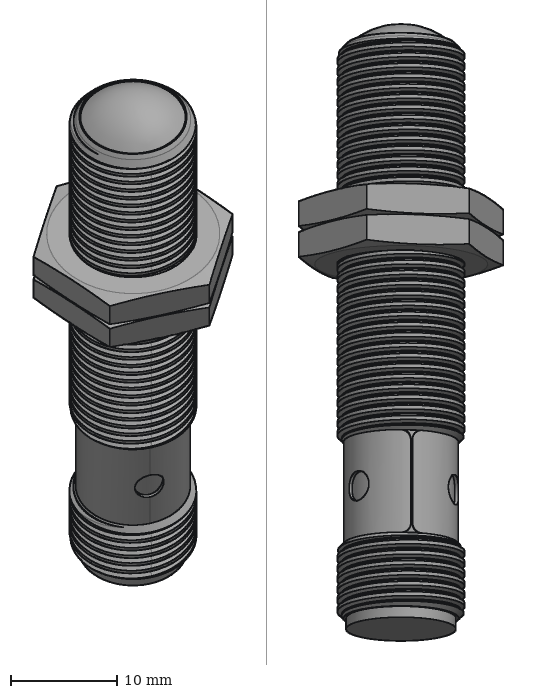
import cadquery as cq
import math

total_height = 58.25
thread_diameter = 12.0
thread_radius = thread_diameter / 2
thread_pitch = thread_diameter / 12
thread_depth = 0.4
crest_width = thread_pitch * 3 / 8
root_width = thread_pitch / 8
groove_overshoot = 0.05
groove_start = 0.1

stub_radius = 5.2
stub_height = 1.05
neck_radius = 5.4
neck_bottom = 8.15
neck_top = 18.05
barrel_top = 56.45
end_chamfer = thread_radius - neck_radius

rim_radius = 5.05
rim_bevel_bottom = 56.1
rim_chamfer_bottom = 55.45

lens_radius = 4.95
dome_radius = 7.2

window_count = 3
window_diameter = 2.85
window_depth = 0.35
window_height = 13.05

seam_width = 0.2
seam_depth = 0.1
seam_corner_radius = 0.9

nut_count = 2
hexagon_sides = 6
nut_width = 17.0
nut_height = 2.95
nut_bottom = 35.25
nut_face_diameter = 16.3
nut_chamfer_height = 0.3


def make_blank():
    """Barrel without threads: a stepped round profile turned about Z."""
    edge_angle = math.asin(lens_radius / dome_radius)
    half_angle = edge_angle / 2
    dome_base = total_height - dome_radius * (1 - math.cos(edge_angle))
    dome_middle = (
        dome_radius * math.sin(half_angle),
        total_height - dome_radius * (1 - math.cos(half_angle)),
    )
    return (
        cq.Workplane("XZ")
        .moveTo(0, 0)
        .lineTo(stub_radius, 0)
        .lineTo(stub_radius, stub_height)
        .lineTo(neck_radius, stub_height)
        .lineTo(thread_radius, stub_height + end_chamfer)
        .lineTo(thread_radius, neck_bottom - end_chamfer)
        .lineTo(neck_radius, neck_bottom)
        .lineTo(neck_radius, neck_top)
        .lineTo(thread_radius, neck_top + end_chamfer)
        .lineTo(thread_radius, rim_chamfer_bottom)
        .lineTo(neck_radius, rim_bevel_bottom)
        .lineTo(rim_radius, barrel_top)
        .lineTo(lens_radius, barrel_top)
        .lineTo(lens_radius, dome_base)
        .threePointArc(dome_middle, (0, total_height))
        .close()
        .revolve(360, (0, 0, 0), (0, 1, 0))
    )


def make_helical_face(from_point, to_point):
    """One turn of the surface swept by a straight line between two (radius, height) points."""
    edges = [
        cq.Wire.makeHelix(thread_pitch, thread_pitch, radius, cq.Vector(0, 0, height)).Edges()[0]
        for radius, height in (from_point, to_point)
    ]
    return cq.Face.makeRuledSurface(*edges)


def groove_section(height):
    """Corners, as (radius, height), of the groove cutter's section centred at a height."""
    root_radius = thread_radius - thread_depth
    outer_radius = thread_radius + groove_overshoot
    flank_slope = (thread_pitch - crest_width - root_width) / (2 * thread_depth)
    root_half = root_width / 2
    outer_half = root_half + flank_slope * (thread_depth + groove_overshoot)
    return [
        (root_radius, height - root_half),
        (outer_radius, height - outer_half),
        (outer_radius, height + outer_half),
        (root_radius, height + root_half),
    ]


def make_thread_groove(start, end):
    """Right-handed helical groove cutter that runs past both heights, built turn by turn."""
    first = groove_start + math.floor((start - groove_start) / thread_pitch) * thread_pitch
    turns = math.ceil((end - first) / thread_pitch)
    faces = []
    for turn in range(turns):
        corners = groove_section(first + turn * thread_pitch)
        next_corners = corners[1:] + corners[:1]
        for corner, next_corner in zip(corners, next_corners):
            faces.append(make_helical_face(corner, next_corner))
    for height in (first, first + turns * thread_pitch):
        corners = [cq.Vector(radius, 0, z) for radius, z in groove_section(height)]
        faces.append(cq.Face.makeFromWires(cq.Wire.makePolygon(corners, close=True)))
    return cq.Workplane(cq.Solid.makeSolid(cq.Shell.makeShell(faces)))


def make_core(depth):
    """Cylinder that lies a given depth below the surface of the neck."""
    return cq.Workplane("XY").circle(neck_radius - depth).extrude(total_height)


def make_window(angle):
    """Ring segment that sinks a round recess, with a floor following the neck, at one angle."""
    drill = (
        cq.Workplane("YZ")
        .center(0, window_height)
        .circle(window_diameter / 2)
        .extrude(thread_radius)
    )
    return drill.cut(make_core(window_depth)).rotate((0, 0, 0), (0, 0, 1), angle)


def make_seam():
    """Narrow slot along the neck that widens with a rounded corner at each end."""
    half = seam_width / 2
    flare = half + seam_corner_radius
    arc_bottom = neck_bottom + seam_corner_radius
    arc_top = neck_top - seam_corner_radius
    inset = seam_corner_radius * (1 - math.sqrt(0.5))
    slot = (
        cq.Workplane("YZ", origin=(-thread_radius, 0, 0))
        .moveTo(-flare, neck_bottom)
        .lineTo(flare, neck_bottom)
        .threePointArc((half + inset, neck_bottom + inset), (half, arc_bottom))
        .lineTo(half, arc_top)
        .threePointArc((half + inset, neck_top - inset), (flare, neck_top))
        .lineTo(-flare, neck_top)
        .threePointArc((-half - inset, neck_top - inset), (-half, arc_top))
        .lineTo(-half, arc_bottom)
        .threePointArc((-half - inset, neck_bottom + inset), (-flare, neck_bottom))
        .close()
        .extrude(thread_radius)
    )
    return slot.cut(make_core(seam_depth))


def make_barrel():
    """Barrel with both threads, the windows and the seam."""
    barrel = make_blank()
    barrel = barrel.cut(make_thread_groove(stub_height, neck_bottom))
    barrel = barrel.cut(make_thread_groove(neck_top, barrel_top))
    for index in range(window_count):
        barrel = barrel.cut(make_window(index * 360 / window_count))
    return barrel.cut(make_seam())


def make_nut(bottom):
    """Hexagon nut with corners on the Y axis, coned on both faces, bored to fit the thread crests."""
    corner_diameter = nut_width / math.cos(math.pi / hexagon_sides)
    corner_radius = corner_diameter / 2
    face_radius = nut_face_diameter / 2
    hexagon = (
        cq.Workplane("XY")
        .polygon(hexagon_sides, corner_diameter)
        .extrude(nut_height)
        .rotate((0, 0, 0), (0, 0, 1), 90)
    )
    envelope = (
        cq.Workplane("XZ")
        .polyline(
            [
                (thread_radius, 0),
                (face_radius, 0),
                (corner_radius, nut_chamfer_height),
                (corner_radius, nut_height - nut_chamfer_height),
                (face_radius, nut_height),
                (thread_radius, nut_height),
            ]
        )
        .close()
        .revolve(360, (0, 0, 0), (0, 1, 0))
    )
    return hexagon.intersect(envelope).translate((0, 0, bottom))


barrel = make_barrel()
nuts = [make_nut(nut_bottom + index * nut_height) for index in range(nut_count)]

result = cq.Compound.makeCompound([barrel.solids().val(), *[nut.solids().val() for nut in nuts]])